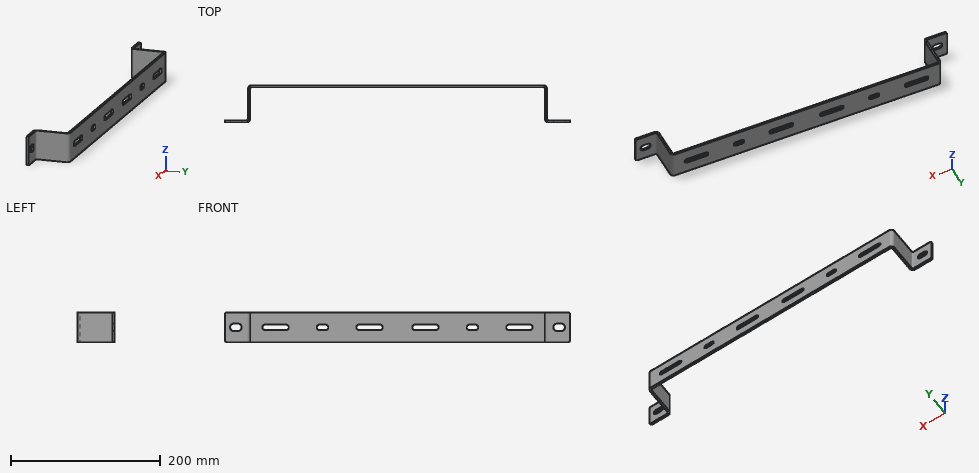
import cadquery as cq

length = 462.0
depth = 50.0
height = 40.0

thickness = 3.0
inner_bend_radius = 2.0
outer_bend_radius = inner_bend_radius + thickness
web_length = 400.0
corner_radius = 3.0

long_slot_length = 35.0
short_slot_length = 15.2
web_slot_width = 7.0
foot_slot_length = 15.2
foot_slot_width = 9.5

inner_slot_x = 37.5
slot_pitch = 63.0
short_slot_x = inner_slot_x + slot_pitch
outer_slot_x = short_slot_x + slot_pitch
foot_slot_x = length / 2 - 15.0

half_length = length / 2
half_web = web_length / 2
front_y = -depth / 2
back_y = depth / 2


def make_strip():
    """Hat-shaped strip: long back web, two arms and two outward feet."""
    half_profile = [
        (half_web - thickness, back_y - thickness),
        (half_web - thickness, front_y),
        (half_length, front_y),
        (half_length, front_y + thickness),
        (half_web, front_y + thickness),
        (half_web, back_y),
    ]
    mirrored_profile = [(-x, y) for x, y in reversed(half_profile)]
    return (
        cq.Workplane("XY")
        .polyline(half_profile + mirrored_profile)
        .close()
        .extrude(height)
        .translate((0, 0, -height / 2))
    )


def vertical_edges_at(strip, x, y):
    """Upright edges at (x, y) and at its mirror image (-x, y)."""
    return strip.edges(cq.selectors.NearestToPointSelector((x, y, 0))).add(
        strip.edges(cq.selectors.NearestToPointSelector((-x, y, 0)))
    )


def round_bends(strip):
    """Round both faces of the sheet concentrically at every bend."""
    arm_inside = half_web - thickness
    bend_edges = [
        (half_web, back_y, outer_bend_radius),
        (arm_inside, back_y - thickness, inner_bend_radius),
        (arm_inside, front_y, outer_bend_radius),
        (half_web, front_y + thickness, inner_bend_radius),
    ]
    for x, y, radius in bend_edges:
        strip = vertical_edges_at(strip, x, y).fillet(radius)
    return strip


def round_foot_corners(strip):
    """Round the free corners at the ends of the feet."""
    return strip.faces("<X or >X").edges("|Y").fillet(corner_radius)


def slot_cutter(centers_x, slot_length, slot_width):
    """Lengthwise slots through the full depth, in mirrored pairs."""
    centers = [(side * x, 0) for x in centers_x for side in (-1, 1)]
    return (
        cq.Workplane("XZ")
        .pushPoints(centers)
        .slot2D(slot_length, slot_width)
        .extrude(depth, both=True)
    )


result = round_foot_corners(round_bends(make_strip()))
result = result.cut(slot_cutter([inner_slot_x, outer_slot_x], long_slot_length, web_slot_width))
result = result.cut(slot_cutter([short_slot_x], short_slot_length, web_slot_width))
result = result.cut(slot_cutter([foot_slot_x], foot_slot_length, foot_slot_width))